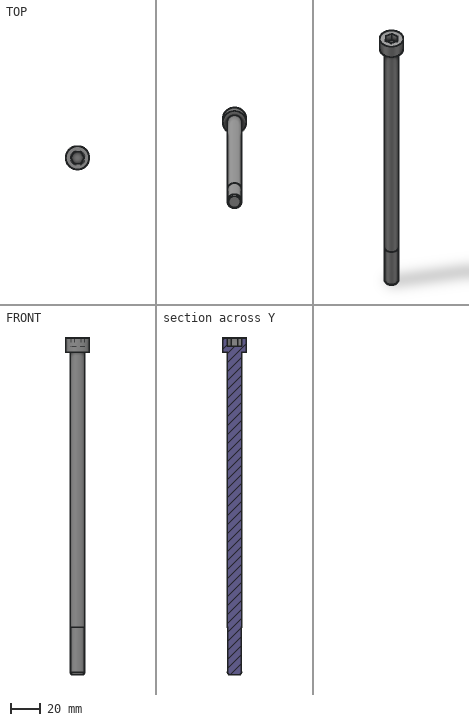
import cadquery as cq
import math

total_length = 230.0
head_diameter = 16.0
head_height = 10.0
shank_diameter = 10.1

thread_diameter = 10.0
thread_length = 32.5
tip_chamfer_height = 1.5
tip_diameter = 8.0

socket_across_flats = 8.0
socket_depth = 5.8

shank_length = total_length - head_height

def make_thread_end():
    """Cylinder with a conical lead-in at the tip."""
    profile = (
        cq.Workplane("XZ")
        .moveTo(0, 0)
        .lineTo(tip_diameter / 2, 0)
        .lineTo(thread_diameter / 2, tip_chamfer_height)
        .lineTo(thread_diameter / 2, thread_length)
        .lineTo(0, thread_length)
        .close()
    )
    return profile.revolve(360, (0, 0, 0), (0, 1, 0))

def make_cylinder(diameter, bottom, height):
    return cq.Workplane("XY").workplane(offset=bottom).circle(diameter / 2).extrude(height)

def make_socket():
    """Hexagonal prism with two corners on the X axis."""
    across_corners = socket_across_flats / math.cos(math.radians(30))
    return (
        cq.Workplane("XY")
        .workplane(offset=total_length - socket_depth)
        .polygon(6, across_corners)
        .extrude(socket_depth)
    )

thread_end = make_thread_end()
plain_shank = make_cylinder(shank_diameter, thread_length, shank_length - thread_length)
head = make_cylinder(head_diameter, shank_length, head_height)

result = thread_end.union(plain_shank).union(head).cut(make_socket())